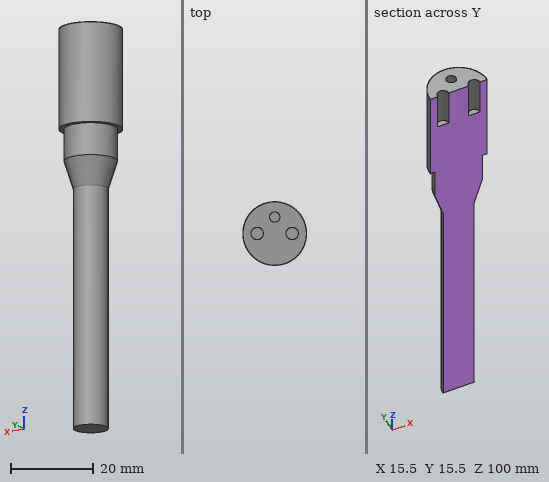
import cadquery as cq

total_length = 100.0
cable_diameter = 8.5
collar_diameter = 13.0
head_diameter = 15.5

cable_length = 60.0
taper_length = 7.0
collar_length = 8.0

contact_hole_diameter = 3.0
contact_hole_offset = 4.25
key_hole_diameter = 2.5
key_hole_offset = 4.0
hole_depth = 10.0


def make_body():
    """Revolve the cable, tapered relief, collar and head as one profile."""
    taper_top = cable_length + taper_length
    collar_top = taper_top + collar_length
    cable_radius = cable_diameter / 2
    collar_radius = collar_diameter / 2
    head_radius = head_diameter / 2
    profile = (
        cq.Workplane("XZ")
        .moveTo(0, 0)
        .lineTo(cable_radius, 0)
        .lineTo(cable_radius, cable_length)
        .lineTo(collar_radius, taper_top)
        .lineTo(collar_radius, collar_top)
        .lineTo(head_radius, collar_top)
        .lineTo(head_radius, total_length)
        .lineTo(0, total_length)
        .close()
    )
    return profile.revolve(360, (0, 0, 0), (0, 1, 0))


def drill_end_face(body, centers, diameter):
    """Cut flat-bottomed blind holes down from the end face of the head."""
    holes = (
        cq.Workplane("XY")
        .workplane(offset=total_length - hole_depth)
        .pushPoints(centers)
        .circle(diameter / 2)
        .extrude(hole_depth)
    )
    return body.cut(holes)


contact_centers = [(-contact_hole_offset, 0), (contact_hole_offset, 0)]
key_centers = [(0, key_hole_offset)]

result = make_body()
result = drill_end_face(result, contact_centers, contact_hole_diameter)
result = drill_end_face(result, key_centers, key_hole_diameter)